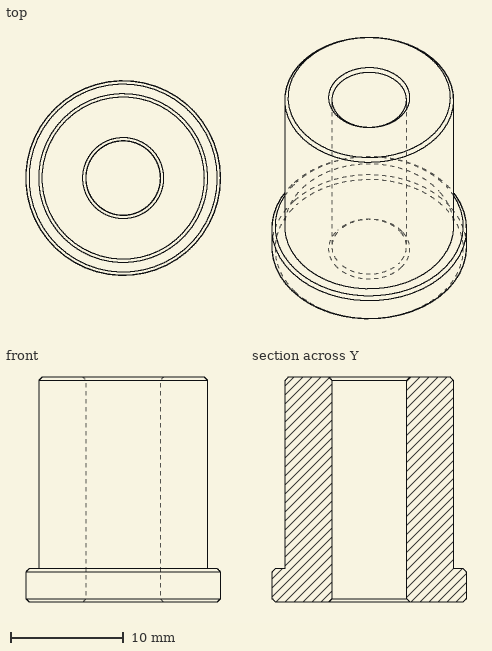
import cadquery as cq

total_height = 20.0
flange_diameter = 17.3
flange_height = 3.0
body_diameter = 15.0
bore_diameter = 6.6
edge_chamfer = 0.3

flange = (
    cq.Workplane("XY")
    .circle(flange_diameter / 2)
    .extrude(flange_height)
    .edges()
    .chamfer(edge_chamfer)
)

body = (
    cq.Workplane("XY")
    .circle(body_diameter / 2)
    .extrude(total_height)
    .faces(">Z")
    .edges()
    .chamfer(edge_chamfer)
)

bore = cq.Workplane("XY").circle(bore_diameter / 2).extrude(total_height)
result = flange.union(body).cut(bore)
bore_mouths = cq.selectors.RadiusNthSelector(0)
result = result.edges("%CIRCLE").edges(bore_mouths).chamfer(edge_chamfer)